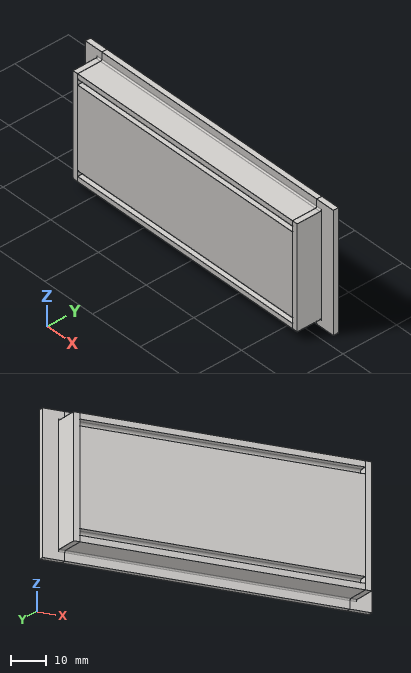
import cadquery as cq
import math

LENGTH = 104.0
DEPTH = 11.0
HEIGHT = 44.0

FLANGE_THICKNESS = 2.0
BOX_INSET_X = 5.0
BOX_INSET_Z = 3.0
ROOT_FILLET = 0.5

CAP_LENGTH = 7.0

GROOVE_RADIUS = 1.0
GROOVE_DEPTH = 3.0
GROOVE_CENTRE_INSET_Z = 5.9

BOX_HALF_HEIGHT = HEIGHT / 2 - BOX_INSET_Z
CENTRE_LENGTH = LENGTH - 2 * CAP_LENGTH


def make_flange(length):
    """Rear plate centred on X = 0."""
    return cq.Workplane("XY").box(length, FLANGE_THICKNESS, HEIGHT).translate((0, -FLANGE_THICKNESS / 2, 0))


def make_box(length):
    """Block with a filleted root along its long edges, centred on X = 0."""
    root_half_height = BOX_HALF_HEIGHT + ROOT_FILLET
    fillet_end = -FLANGE_THICKNESS - ROOT_FILLET
    mid_offset = ROOT_FILLET * (1 - math.sqrt(0.5))
    fillet_mid_y = -FLANGE_THICKNESS - mid_offset
    fillet_mid_z = BOX_HALF_HEIGHT + mid_offset
    return (
        cq.Workplane("YZ")
        .moveTo(-FLANGE_THICKNESS, -root_half_height)
        .threePointArc((fillet_mid_y, -fillet_mid_z), (fillet_end, -BOX_HALF_HEIGHT))
        .lineTo(-DEPTH, -BOX_HALF_HEIGHT)
        .lineTo(-DEPTH, BOX_HALF_HEIGHT)
        .lineTo(fillet_end, BOX_HALF_HEIGHT)
        .threePointArc((fillet_mid_y, fillet_mid_z), (-FLANGE_THICKNESS, root_half_height))
        .close()
        .extrude(length / 2, both=True)
    )


def make_groove(centre_z):
    """Cutter with straight sides and a half-round bottom, running the length of the centre section."""
    bottom_centre_y = GROOVE_DEPTH - GROOVE_RADIUS - DEPTH
    return (
        cq.Workplane("YZ")
        .moveTo(-DEPTH, centre_z - GROOVE_RADIUS)
        .lineTo(bottom_centre_y, centre_z - GROOVE_RADIUS)
        .threePointArc((GROOVE_DEPTH - DEPTH, centre_z), (bottom_centre_y, centre_z + GROOVE_RADIUS))
        .lineTo(-DEPTH, centre_z + GROOVE_RADIUS)
        .close()
        .extrude(CENTRE_LENGTH / 2, both=True)
    )


def make_centre_section():
    """Long section between the end caps, with its two front grooves."""
    section = make_flange(CENTRE_LENGTH).union(make_box(CENTRE_LENGTH))
    groove_z = HEIGHT / 2 - GROOVE_CENTRE_INSET_Z
    for centre_z in (-groove_z, groove_z):
        section = section.cut(make_groove(centre_z))
    return section


def make_end_cap(side):
    """End cap at the -X (side = -1) or +X (side = 1) end."""
    inner_x = CENTRE_LENGTH / 2
    box_length = CAP_LENGTH - BOX_INSET_X
    flange = make_flange(CAP_LENGTH).translate((side * (inner_x + CAP_LENGTH / 2), 0, 0))
    box = make_box(box_length).translate((side * (inner_x + box_length / 2), 0, 0))
    return flange.union(box)


centre_section = make_centre_section()
end_caps = [make_end_cap(side) for side in (-1, 1)]

result = cq.Compound.makeCompound([centre_section.val(), *[cap.val() for cap in end_caps]])